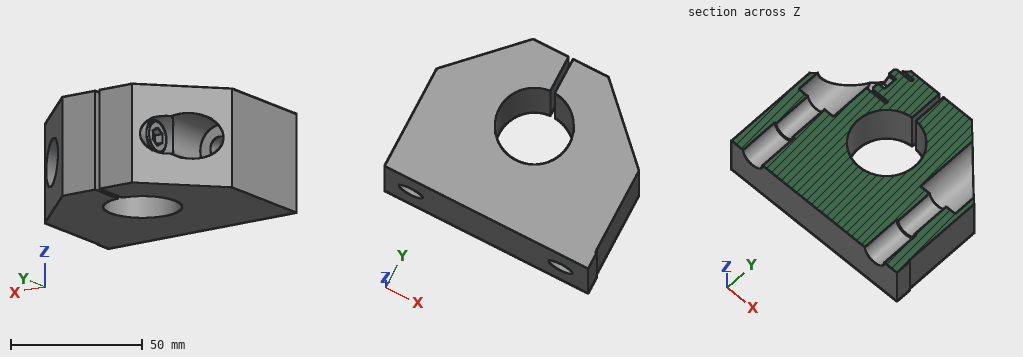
import cadquery as cq
import math

overall_width = 87.0
lip_width = 0.5
lip_depth = 7.1
body_width = overall_width - lip_width
body_depth = 70.0
body_height = 39.0
corner_cut = 27.15
center_x = body_width / 2
center_z = body_height / 2

bore_diameter = 29.9
bore_y = 40.0
slot_width = 1.9

hole_spacing = 63.95
entry_diameter = 10.1
entry_depth = 17.4
through_diameter = 8.6
counterbore_diameter = 18.0
counterbore_floor_y = 34.8

screw_y = 60.4
pocket_diameter = 15.0
pocket_floor_x = 30.45
head_diameter = 13.0
head_start_x = 22.0
head_chamfer = 0.7
socket_across_flats = 6.0
socket_depth = 3.5


def make_body():
    """Block with two cut corners and a low lip on the +X side."""
    shoulder_y = body_depth - corner_cut
    return (
        cq.Workplane("XY")
        .moveTo(0, 0)
        .lineTo(overall_width, 0)
        .lineTo(overall_width, lip_depth)
        .lineTo(body_width, lip_depth)
        .lineTo(body_width, shoulder_y)
        .lineTo(body_width - corner_cut, body_depth)
        .lineTo(corner_cut, body_depth)
        .lineTo(0, shoulder_y)
        .close()
        .extrude(body_height)
    )


def cylinder_along_x(diameter, start_x, end_x):
    """Cylinder on the clamp screw axis."""
    return (
        cq.Workplane("YZ", origin=(start_x, screw_y, center_z))
        .circle(diameter / 2)
        .extrude(end_x - start_x)
    )


def cylinder_along_y(diameter, x, start_y, end_y):
    """Cylinder at mid height, parallel to Y."""
    return (
        cq.Workplane("XZ", origin=(x, start_y, center_z))
        .circle(diameter / 2)
        .extrude(start_y - end_y)
    )


def make_clamp_opening():
    """Vertical shaft bore joined to the slot through the back face."""
    bore = cq.Workplane("XY").center(center_x, bore_y).circle(bore_diameter / 2).extrude(body_height)
    slot_length = body_depth - bore_y
    slot = (
        cq.Workplane("XY")
        .center(center_x, bore_y + slot_length / 2)
        .rect(slot_width, slot_length)
        .extrude(body_height)
    )
    return bore.union(slot)


def make_mounting_hole(x):
    """Stepped through hole with a counterbore opening in the cut corner."""
    entry = cylinder_along_y(entry_diameter, x, 0, entry_depth)
    through = cylinder_along_y(through_diameter, x, 0, body_depth)
    counterbore = cylinder_along_y(counterbore_diameter, x, counterbore_floor_y, body_depth)
    return entry.union(through).union(counterbore)


def make_screw_head():
    """Chamfered cylindrical head with a hexagon socket, seated on the pocket floor."""
    head = cylinder_along_x(head_diameter, head_start_x, pocket_floor_x)
    head = head.faces("<X").chamfer(head_chamfer)
    across_corners = socket_across_flats / math.cos(math.pi / 6)
    socket = (
        cq.Workplane("YZ", origin=(head_start_x, screw_y, center_z))
        .transformed(rotate=(0, 0, 90))
        .polygon(6, across_corners)
        .extrude(socket_depth)
    )
    return head.cut(socket)


result = make_body().cut(make_clamp_opening())
for side in (-1, 1):
    result = result.cut(make_mounting_hole(center_x + side * hole_spacing / 2))
result = result.cut(cylinder_along_x(pocket_diameter, 0, pocket_floor_x))
result = result.union(make_screw_head())